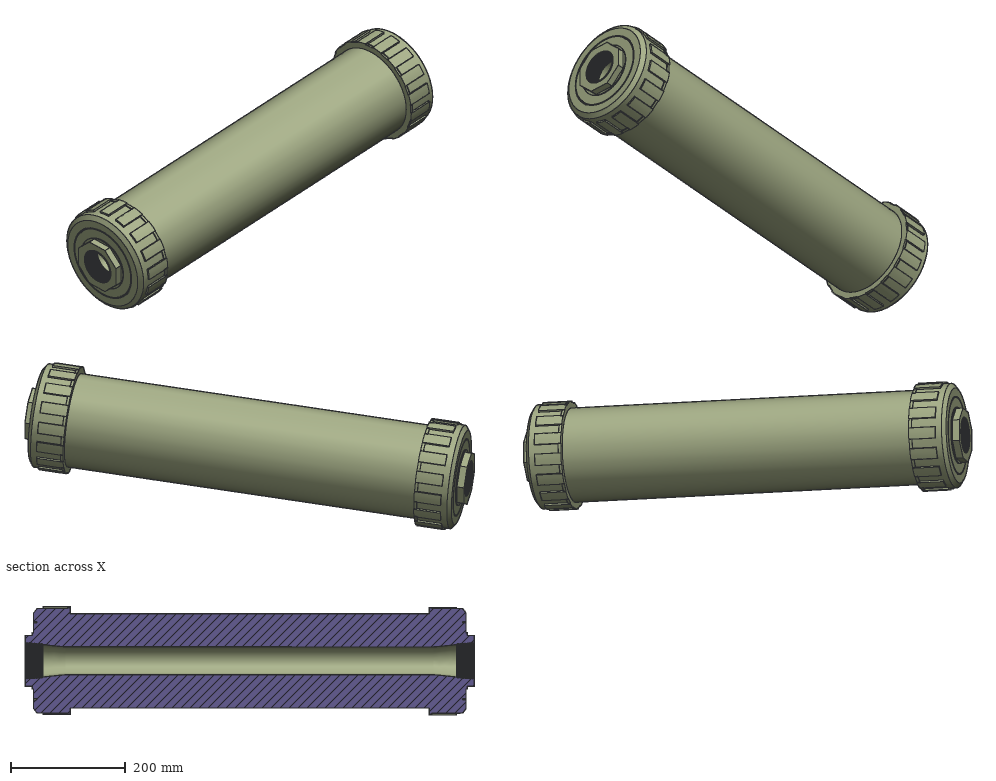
import cadquery as cq
import math

overall_length = 783.59
rib_diameter = 189.1

tube_diameter = 165.0

nut_diameter = 182.9
nut_face_diameter = 166.0
nut_opening_diameter = 136.8
nut_chamfer_length = 6.2
nut_length = 64.7
groove_depth = 6.0

rib_count = 16
rib_pitch = 360.0 / rib_count
rib_width = 20.0
rib_length = 47.5
rib_phase = 7.5

rim_length = 5.0
rim_diameter = 186.0

adapter_diameter = 132.99
collar_diameter = 98.5
collar_height = 1.8
octagon_flats = 88.9
octagon_height = 12.5
octagon_sides = 8

port_mouth_diameter = 60.3
port_root_diameter = 56.36
port_bore = 48.26
inch = 25.4
threads_per_inch = 11.5
thread_pitch = inch / threads_per_inch
thread_turns = 14
thread_depth = 1.5
cone_length = 40.0

end_y = overall_length / 2
collar_y = end_y - octagon_height
nut_face_y = collar_y - collar_height
nut_inner_y = nut_face_y - nut_length


def cylinder(diameter, start_y, stop_y):
    """Cylinder about the Y axis from start_y to stop_y."""
    disc = cq.Workplane("XZ", origin=(0, start_y, 0)).circle(diameter / 2)
    return disc.extrude(start_y - stop_y)


def revolve_about_y(profile):
    """Solid of revolution from (radius, y) points."""
    return cq.Workplane("XY").polyline(profile).close().revolve(360, (0, 0, 0), (0, 1, 0))


def make_ribs():
    """Ring of straight grip ribs that ends flush with the inner end of the nut."""
    ring = cylinder(rib_diameter, nut_inner_y, nut_inner_y + rib_length)
    base = cq.Workplane("XY", origin=(0, nut_inner_y, 0))
    bars = cq.Workplane("XY")
    for index in range(rib_count):
        bar = base.box(rib_width, rib_length, rib_diameter / 2, centered=(True, False, False))
        angle = rib_phase + index * rib_pitch
        bars = bars.add(bar.rotate((0, 0, 0), (0, 1, 0), angle))
    return bars.combine().intersect(ring)


def make_nut():
    """Ribbed nut with a chamfered outer face and a ring gap around the adapter."""
    radius = nut_diameter / 2
    chamfer_y = nut_face_y - nut_chamfer_length
    profile = [
        (0, nut_inner_y),
        (radius, nut_inner_y),
        (radius, chamfer_y),
        (nut_face_diameter / 2, nut_face_y),
        (0, nut_face_y),
    ]
    body = revolve_about_y(profile)
    groove_floor_y = nut_face_y - groove_depth
    groove = cylinder(nut_opening_diameter, groove_floor_y, nut_face_y)
    groove = groove.cut(cylinder(adapter_diameter, groove_floor_y, nut_face_y))
    rim = cylinder(rim_diameter, nut_inner_y, nut_inner_y + rim_length)
    return body.union(rim).union(make_ribs()).cut(groove)


def make_fitting():
    """Collar and octagonal wrench boss that stand out of the nut."""
    collar = cylinder(collar_diameter, nut_face_y, collar_y)
    corner_diameter = octagon_flats / math.cos(math.pi / octagon_sides)
    octagon = cq.Workplane("XZ", origin=(0, collar_y, 0)).polygon(octagon_sides, corner_diameter)
    octagon = octagon.extrude(-octagon_height)
    octagon = octagon.rotate((0, 0, 0), (0, 1, 0), 180.0 / octagon_sides)
    return collar.union(octagon)


def make_port():
    """Hollow of the port: ringed taper thread, then a cone down to the bore."""
    thread_length = thread_turns * thread_pitch
    taper = (port_mouth_diameter - port_root_diameter) / 2 / thread_length
    profile = [(0, end_y), (port_mouth_diameter / 2, end_y)]
    for turn in range(thread_turns):
        groove_distance = (turn + 0.5) * thread_pitch
        crest_distance = (turn + 1) * thread_pitch
        groove_radius = port_mouth_diameter / 2 - taper * groove_distance + thread_depth
        crest_radius = port_mouth_diameter / 2 - taper * crest_distance
        profile.append((groove_radius, end_y - groove_distance))
        profile.append((crest_radius, end_y - crest_distance))
    cone_end_y = end_y - thread_length - cone_length
    profile.append((port_bore / 2, cone_end_y))
    profile.append((0, cone_end_y))
    return revolve_about_y(profile)


def make_end():
    """Complete end assembly on the +Y side."""
    return make_nut().union(make_fitting()).cut(make_port())


end = make_end()
opposite_end = end.rotate((0, 0, 0), (0, 0, 1), 180)
tube = cylinder(tube_diameter, -nut_inner_y, nut_inner_y)
bore = cylinder(port_bore, -end_y, end_y)
result = tube.union(end).union(opposite_end).cut(bore)